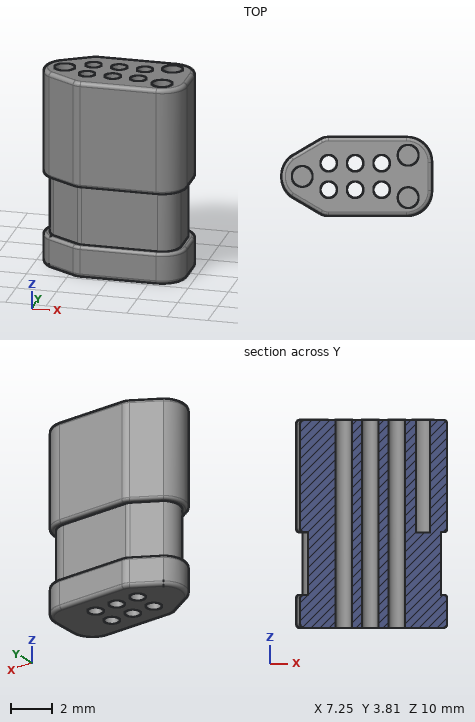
import cadquery as cq
import math

total_height = 10.0
base_height = 1.6
head_bottom = 4.6
neck_height = head_bottom - base_height
head_height = total_height - head_bottom

total_length = 7.25
half_width = 1.905
nose_x = -3.55
back_x = nose_x + total_length
nose_radius = 1.235
nose_half_chord = 0.97
shoulder_x = -1.49
shoulder_radius = 0.75
back_radius = 1.23
neck_inset = 0.3

outer_edge_radius = 0.2
neck_edge_radius = 0.15

pitch = 1.27
contact_columns = 3
contact_rows = 2
contact_diameter = 0.78
guide_diameter = 1.0
guide_x = 2 * pitch
guide_y = 1.016
guide_depth = head_height

nose_end_x = nose_x + nose_radius - math.sqrt(nose_radius**2 - nose_half_chord**2)


def plan_prism(bottom, height):
    """Prism with a round nose, tapered shoulders and a rounded back."""
    prism = (
        cq.Workplane("XY")
        .workplane(offset=bottom)
        .moveTo(nose_end_x, -nose_half_chord)
        .lineTo(shoulder_x, -half_width)
        .lineTo(back_x, -half_width)
        .lineTo(back_x, half_width)
        .lineTo(shoulder_x, half_width)
        .lineTo(nose_end_x, nose_half_chord)
        .threePointArc((nose_x, 0), (nose_end_x, -nose_half_chord))
        .close()
        .extrude(height)
    )
    corner_rounds = ((shoulder_x, shoulder_radius), (back_x, back_radius))
    for corner_x, radius in corner_rounds:
        for corner_y in (-half_width, half_width):
            corner = cq.selectors.NearestToPointSelector((corner_x, corner_y, bottom + height / 2))
            prism = prism.edges("|Z").edges(corner).fillet(radius)
    return prism


def make_neck():
    """Neck between the flange and the head, inset evenly from the plan outline."""
    outline = plan_prism(base_height, neck_height).faces("<Z").wires()
    inset_outline = outline.val().offset2D(-neck_inset, "intersection")[0]
    neck_face = cq.Face.makeFromWires(inset_outline)
    neck_rise = cq.Vector(0, 0, neck_height)
    return cq.Workplane(cq.Solid.extrudeLinear(neck_face, neck_rise))


def make_base():
    base = plan_prism(0, base_height)
    return base.faces("<Z").edges().fillet(outer_edge_radius).faces(">Z").edges().fillet(neck_edge_radius)


def make_head():
    head = plan_prism(head_bottom, head_height)
    return head.faces(">Z").edges().fillet(outer_edge_radius).faces("<Z").edges().fillet(neck_edge_radius)


def contact_holes():
    """Two rows of three contact holes through the full height."""
    return (
        cq.Workplane("XY")
        .rarray(pitch, pitch, contact_columns, contact_rows)
        .circle(contact_diameter / 2)
        .extrude(total_height)
    )


def guide_holes():
    """Three blind holes in the top: one in the nose and one near each back corner."""
    return (
        cq.Workplane("XY")
        .workplane(offset=total_height - guide_depth)
        .pushPoints([(-guide_x, 0), (guide_x, guide_y), (guide_x, -guide_y)])
        .circle(guide_diameter / 2)
        .extrude(guide_depth)
    )


body = make_base().union(make_neck()).union(make_head())
result = body.cut(contact_holes()).cut(guide_holes())